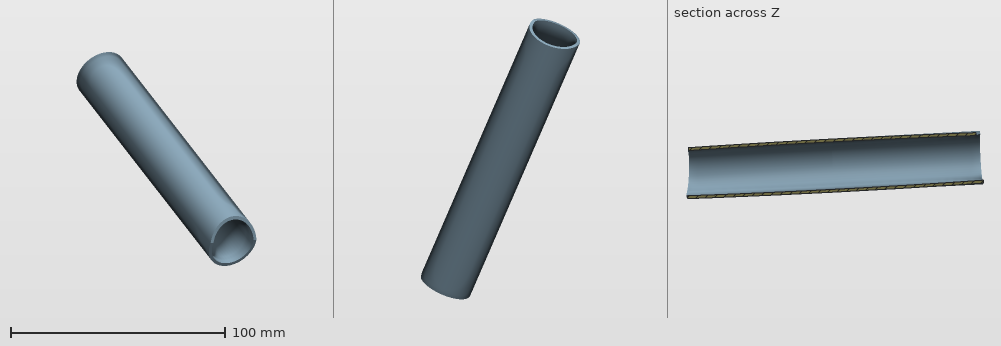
import cadquery as cq
import math

outer_diameter = 25.0
wall = 1.5
length = 138.4
tilt = 3.0

left_bevel_angle = 11.3
left_bevel_direction = -62.0
left_bevel_offset = 0.0
right_bevel_angle = 24.0
right_bevel_direction = 75.0
right_bevel_offset = 1.4

outer_radius = outer_diameter / 2
inner_radius = outer_radius - wall


def bevel_cutter(end_x, inward, angle, direction, offset):
    """Wedge removing the end beyond a straight edge, deepest at the tube wall."""
    reach = 2 * outer_radius
    depth = (reach - offset) * math.tan(math.radians(angle))
    wedge = (
        cq.Workplane("XY")
        .moveTo(end_x, offset)
        .lineTo(end_x + inward * depth, reach)
        .lineTo(end_x - inward * wall, reach)
        .lineTo(end_x - inward * wall, offset)
        .close()
        .extrude(reach, both=True)
    )
    return wedge.rotate((0, 0, 0), (1, 0, 0), direction)


tube = (
    cq.Workplane("YZ")
    .circle(outer_radius)
    .circle(inner_radius)
    .extrude(length / 2, both=True)
)

tube = tube.cut(
    bevel_cutter(-length / 2, 1, left_bevel_angle, left_bevel_direction, left_bevel_offset)
)
tube = tube.cut(
    bevel_cutter(length / 2, -1, right_bevel_angle, right_bevel_direction, right_bevel_offset)
)

result = tube.rotate((0, 0, 0), (0, 0, 1), tilt).rotate((0, 0, 0), (0, 1, 0), tilt)